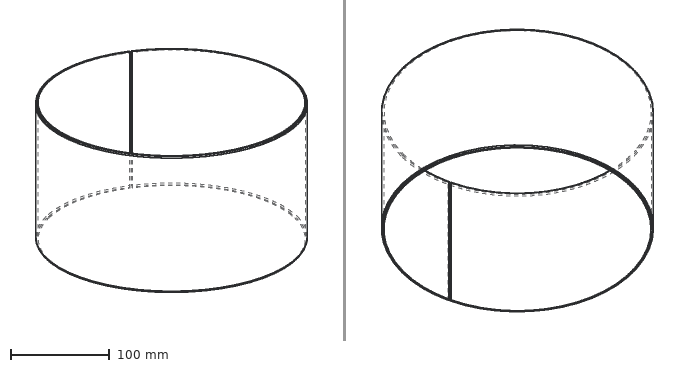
import cadquery as cq

outer_diameter = 275.0
height = 150.0
wall = 2.5
bevel_width = 0.8
bevel_height = 1.6
gap_angle = 1.0

outer_radius = outer_diameter / 2
inner_radius = outer_radius - wall
rim_outer_radius = outer_radius - bevel_width

wall_section = (
    cq.Workplane("XZ")
    .moveTo(-inner_radius, 0)
    .lineTo(-rim_outer_radius, 0)
    .lineTo(-outer_radius, bevel_height)
    .lineTo(-outer_radius, height - bevel_height)
    .lineTo(-rim_outer_radius, height)
    .lineTo(-inner_radius, height)
    .close()
)

result = wall_section.revolve(360 - gap_angle, (0, 0, 0), (0, 1, 0))